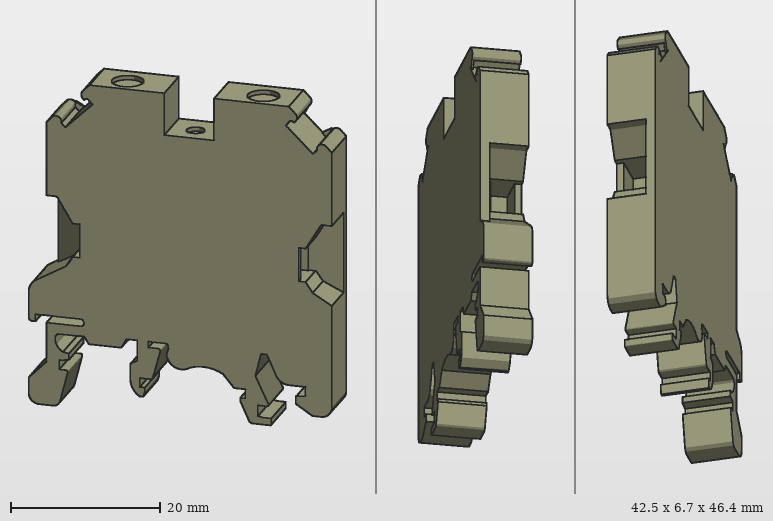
import cadquery as cq
import math


thickness = 6.7
height = 46.4
half_width = 20.0
foot_overhang = 2.5
left_end = -half_width - foot_overhang

slot_half_width = 3.5
slot_floor = 40.4
screw_offset = 9.5
screw_diameter = 4.3
center_hole_diameter = 2.45
hole_y = 2.95
hole_depth = 0.6

shoulder = 40.45
lip_round = 0.75
lower_hook_x = -17.9
lower_hook = (lower_hook_x, 40.55)
groove_bottom = (-17.35, 40.0)
groove_top = (-13.55, 43.65)
upper_hook = (-14.35, 44.5)
upper_lip_end = (-14.7, 44.15)
groove_skin = 0.3

funnel_top = 29.97
funnel_sill = 18.55
funnel_floor_x = 15.35
funnel_step_x = 16.35
funnel_bend_x = 17.3
sill_slope = math.tan(math.radians(30))
throat_top = 26.35
throat_bottom = 21.58
mouth_depth = 5.4
throat_depth = 4.35
wire_hole_front = 0.97
wire_hole_back = 4.25
wire_hole_length = 4.65

ceiling = 10.63
clip_ledge = 5.3
overhang_bottom = 11.8
overhang_slot_top = 12.8
overhang_slot_end = -14.75
overhang_lip_x = -21.55
foot_shoulder = 3.65


def rounded_corner(before, corner, after, radius):
    """Start, middle and end of the arc that rounds a corner."""
    ux, uz = before[0] - corner[0], before[1] - corner[1]
    vx, vz = after[0] - corner[0], after[1] - corner[1]
    u_length = math.hypot(ux, uz)
    v_length = math.hypot(vx, vz)
    ux, uz, vx, vz = ux / u_length, uz / u_length, vx / v_length, vz / v_length
    half_angle = math.acos(ux * vx + uz * vz) / 2
    tangent_length = radius / math.tan(half_angle)
    middle_length = radius / math.sin(half_angle) - radius
    bisector = math.hypot(ux + vx, uz + vz)
    start = (corner[0] + ux * tangent_length, corner[1] + uz * tangent_length)
    end = (corner[0] + vx * tangent_length, corner[1] + vz * tangent_length)
    middle = (
        corner[0] + (ux + vx) / bisector * middle_length,
        corner[1] + (uz + vz) / bisector * middle_length,
    )
    return start, middle, end


def plate(outline, back=thickness, front=0.0):
    """Solid between y = front and y = back.

    Each outline entry is (x, z) for a sharp corner, (x, z, radius) for a rounded one,
    or ((x, z), (x, z)) for an arc through the first point that ends at the second.
    The first corner is sharp, and an arc never follows a rounded corner directly.
    """
    sketch = cq.Workplane("XZ", origin=(0, front, 0)).moveTo(*outline[0])
    for before, entry, after in zip(outline, outline[1:], outline[2:] + outline[:1]):
        if isinstance(entry[0], tuple):
            sketch = sketch.threePointArc(*entry)
        elif len(entry) == 3:
            came_from = before[1] if isinstance(before[0], tuple) else before
            start, middle, end = rounded_corner(came_from, entry, after, entry[2])
            sketch = sketch.lineTo(*start).threePointArc(middle, end)
        else:
            sketch = sketch.lineTo(*entry)
    return sketch.close().extrude(front - back)


def mirrored(outline):
    """The same sharp or rounded corners on the other side of x = 0, in reverse order."""
    return [(-entry[0], *entry[1:]) for entry in reversed(outline)]


left_corner = [
    (-half_width, shoulder),
    (lower_hook_x, shoulder + half_width + lower_hook_x, lip_round),
    lower_hook,
    groove_bottom,
    groove_top,
    (*upper_hook, 0.25),
    upper_lip_end,
    (-15.4, 44.95, lip_round),
    (-13.95, height),
]

top_edge = [
    *left_corner,
    (-slot_half_width, height),
    (-slot_half_width, slot_floor),
    (slot_half_width, slot_floor),
    (slot_half_width, height),
    *mirrored(left_corner),
]

right_foot = [
    (half_width, 2.5, 1.5),
    (17.3, 2.5, 0.45),
    (14.95, 4.0),
    (14.95, 5.15, 0.25),
    (16.3, 5.2, 0.2),
    (16.3, 6.55),
    (12.7, 6.55, 2.0),
    (10.9, ceiling, 0.3),
    (10.05, ceiling, 0.3),
]

right_clip = [
    (9.3, 7.4),
    (11.28, 3.2, 0.25),
    (9.65, 3.2),
    (9.65, 1.65),
    (10.3, 1.55),
    (11.5, 1.55),
    (11.5, 0.5, 0.15),
    (8.55, 0.5, 0.7),
    (7.15, 3.55),
    (7.15, 4.0),
    (7.85, 4.0),
    (7.85, clip_ledge),
    (6.3, clip_ledge),
]

arch_and_lobe = [
    (4.75, 7.15),
    ((2.15, 7.85), (0.1, 7.5)),
    ((-1.05, 7.15), (-3.15, 9.15)),
    (-2.9, 9.85),
    (-2.9, ceiling, 0.4),
    (-5.7, ceiling),
]

middle_clip = [
    (-5.7, 9.8),
    (-3.95, 9.8, 0.35),
    (-5.15, clip_ledge, 0.45),
    (-6.9, clip_ledge),
    (-6.9, 4.0),
    (-6.2, 4.0),
    (-6.2, 3.4),
    (-6.45, 2.65),
    (-6.9, 2.65),
    ((-7.8, 3.5), (-8.25, 5.05)),
    (-8.25, 7.25, 0.35),
    (-7.3, 7.7),
    (-7.3, ceiling),
    (-8.8, ceiling),
]

latch_bay = [
    (-9.5, 9.33),
    (-14.05, 9.33),
    (-14.7, 10.35),
    (-18.8, 10.35, 0.65),
    (-18.8, 9.5),
    ((-18.45, 8.6), (-17.7, 7.85)),
    (-16.85, 7.7),
    (-16.85, 6.8),
    (-18.2, 6.6),
    (-18.2, clip_ledge),
    (-16.95, clip_ledge, 0.3),
]

latch_foot = [
    (-18.3, 0.0, 1.0),
    (left_end, 0.0, 1.5),
    (left_end, foot_shoulder),
    (-half_width, foot_shoulder + foot_overhang),
]

left_overhang = [
    (-half_width, overhang_bottom),
    (overhang_slot_end, overhang_bottom, 0.45),
    (overhang_slot_end, overhang_slot_top, 0.45),
    (overhang_lip_x, overhang_slot_top),
    (overhang_lip_x, overhang_bottom),
    (left_end, overhang_bottom, 0.5),
    (left_end, funnel_sill - foot_overhang * sill_slope, 2.0),
    (-half_width, funnel_sill),
]

body = plate(
    top_edge + right_foot + right_clip + arch_and_lobe
    + middle_clip + latch_bay + latch_foot + left_overhang
)

groove_skins = [
    [(lower_hook_x, 41.4), (-16.65, 40.7), groove_bottom, lower_hook],
    [upper_lip_end, upper_hook, groove_top, (-14.15, 43.1)],
]
for skin in groove_skins:
    for outline in (skin, mirrored(skin)):
        body = body.union(plate(outline, front=thickness - groove_skin))

funnel = plate([
    (-half_width, funnel_top),
    (-18.5, funnel_top, 0.45),
    (-funnel_step_x, throat_top),
    (-funnel_floor_x, throat_top),
    (-funnel_floor_x, throat_bottom),
    (-funnel_step_x, throat_bottom),
    (-funnel_bend_x, funnel_sill + (half_width - funnel_bend_x) * sill_slope),
    (-half_width, funnel_sill),
])
slanted_room = (
    cq.Workplane("XY")
    .polyline([
        (-half_width, 0),
        (-funnel_floor_x, 0),
        (-funnel_floor_x, throat_depth),
        (-half_width, mouth_depth),
    ])
    .close()
    .extrude(height)
)
wire_hole = cq.Workplane("XY").box(
    wire_hole_length,
    wire_hole_back - wire_hole_front,
    throat_top - throat_bottom,
    centered=False,
).translate((-funnel_floor_x, wire_hole_front, throat_bottom))
wire_entry = funnel.intersect(slanted_room).union(wire_hole)

body = body.cut(wire_entry).cut(wire_entry.mirror("YZ"))


def top_hole(x, z, diameter):
    """Shallow round recess sunk from a horizontal face at height z."""
    return cq.Workplane("XY", origin=(x, hole_y, z)).circle(diameter / 2).extrude(-hole_depth)


for x in (-screw_offset, screw_offset):
    body = body.cut(top_hole(x, height, screw_diameter))
body = body.cut(top_hole(0, slot_floor, center_hole_diameter))

result = body